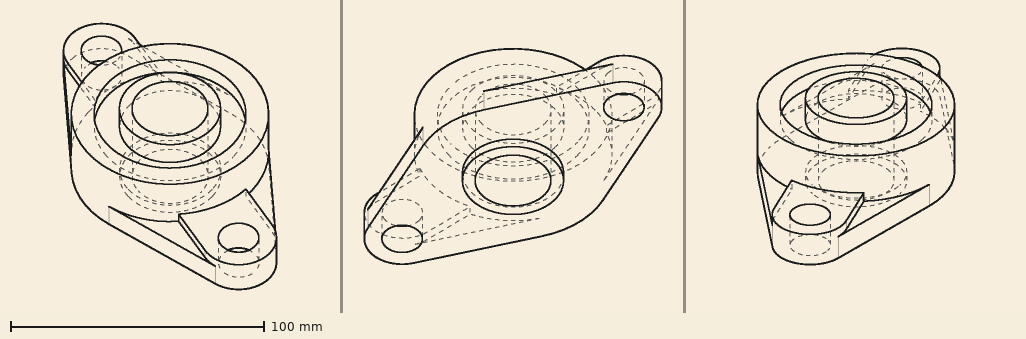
import cadquery as cq
import math

bolt_spacing = 117.0
bolt_hole_diameter = 16.0
ear_radius = 15.0
ear_height = 14.0
flange_thickness = 10.0

housing_diameter = 78.0
housing_height = 31.0
recess_diameter = 60.0
recess_depth = 7.0

sleeve_diameter = 40.0
bore_diameter = 30.0
sleeve_bottom = -4.0
sleeve_top = 34.0

bolt_offset = bolt_spacing / 2
housing_radius = housing_diameter / 2


def cylinder(diameter, bottom, top):
    """Upright cylinder centred on the Z axis."""
    return cq.Workplane("XY").workplane(offset=bottom).circle(diameter / 2).extrude(top - bottom)


def make_flange():
    """Diamond plate with sides tangent to housing and ears; the housing rounds its two flat corners."""
    sine = (housing_radius - ear_radius) / bolt_offset
    cosine = math.sqrt(1 - sine**2)
    housing_x = housing_radius * sine
    housing_y = housing_radius * cosine
    ear_x = bolt_offset + ear_radius * sine
    ear_y = ear_radius * cosine
    ear_tip = bolt_offset + ear_radius
    return (
        cq.Workplane("XY")
        .moveTo(housing_x, housing_y)
        .lineTo(ear_x, ear_y)
        .threePointArc((ear_tip, 0), (ear_x, -ear_y))
        .lineTo(housing_x, -housing_y)
        .lineTo(-housing_x, -housing_y)
        .lineTo(-ear_x, -ear_y)
        .threePointArc((-ear_tip, 0), (-ear_x, ear_y))
        .lineTo(-housing_x, housing_y)
        .close()
        .extrude(flange_thickness)
    )


def make_ear_bar():
    """Raised bar with rounded ends that carries the two bolt holes."""
    bar_length = bolt_spacing + 2 * ear_radius
    return cq.Workplane("XY").slot2D(bar_length, 2 * ear_radius).extrude(ear_height)


def make_bolt_holes():
    """Cutters for the through holes in the two ears."""
    return (
        cq.Workplane("XY")
        .pushPoints([(-bolt_offset, 0), (bolt_offset, 0)])
        .circle(bolt_hole_diameter / 2)
        .extrude(ear_height)
    )


housing = cylinder(housing_diameter, 0, housing_height)
recess = cylinder(recess_diameter, housing_height - recess_depth, housing_height)
sleeve = cylinder(sleeve_diameter, sleeve_bottom, sleeve_top)
bore = cylinder(bore_diameter, sleeve_bottom, sleeve_top)

body = make_flange().union(make_ear_bar()).union(housing)
body = body.cut(recess).cut(make_bolt_holes())
result = body.union(sleeve).cut(bore)